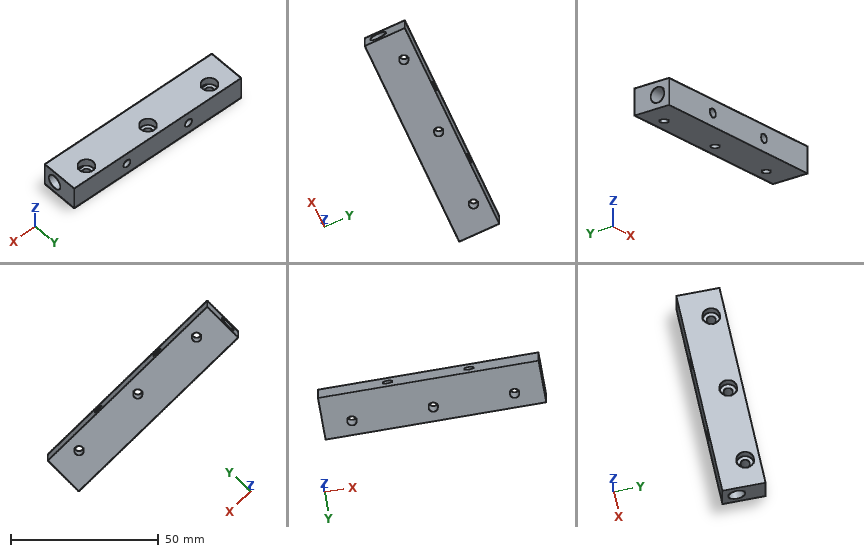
import cadquery as cq

length = 76.0
width = 15.0
height = 10.0

screw_diameter = 3.2
screw_spacing = 28.0
vertical_screw_count = 3
horizontal_screw_count = 2
vertical_screw_edge_distance = 5.0
counterbore_diameter = 6.0
counterbore_depth = 3.2

end_pocket_diameter = 5.8
end_pocket_depth = 15.0
end_pocket_edge_distance = 5.0


def centred_row(count):
    """X positions of equally spaced screws centred along the block."""
    first = (length - (count - 1) * screw_spacing) / 2
    return [first + i * screw_spacing for i in range(count)]


def cylinder(diameter, depth, start, direction):
    """Solid cylinder running from a start point along a direction."""
    solid = cq.Solid.makeCylinder(diameter / 2, depth, cq.Vector(*start), cq.Vector(*direction))
    return cq.Workplane(obj=solid)


def vertical_screw_hole(x):
    """Through hole along Z with a counterbore in the top face."""
    top_centre = (x, width - vertical_screw_edge_distance, height)
    down = (0, 0, -1)
    bore = cylinder(screw_diameter, height, top_centre, down)
    return bore.union(cylinder(counterbore_diameter, counterbore_depth, top_centre, down))


def horizontal_screw_hole(x):
    """Through hole along Y at mid height."""
    return cylinder(screw_diameter, width, (x, 0, height / 2), (0, 1, 0))


def end_pocket(x, inward):
    """Blind pocket along X, entering an end face at mid height."""
    mouth = (x, end_pocket_edge_distance, height / 2)
    return cylinder(end_pocket_diameter, end_pocket_depth, mouth, (inward, 0, 0))


result = cq.Workplane("XY").box(length, width, height, centered=False)

for screw_x in centred_row(vertical_screw_count):
    result = result.cut(vertical_screw_hole(screw_x))

for screw_x in centred_row(horizontal_screw_count):
    result = result.cut(horizontal_screw_hole(screw_x))

for face_x, inward in ((0, 1), (length, -1)):
    result = result.cut(end_pocket(face_x, inward))